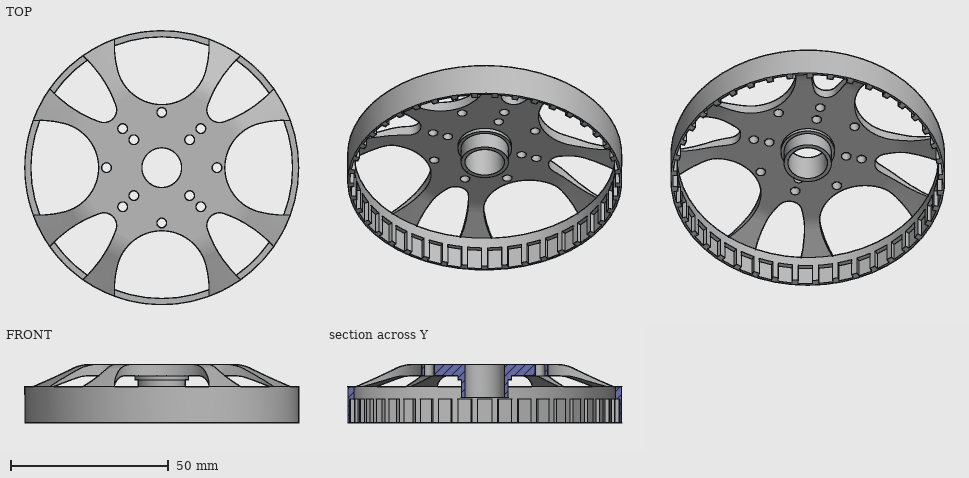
import cadquery as cq
import math

RIM_RADIUS = 43.4
RIM_INNER_RADIUS = 41.4
RIM_HEIGHT = 11.5

GROOVE_COUNT = 41
GROOVE_START_ANGLE = 90.0
GROOVE_WIDTH = 4.5
GROOVE_FLOOR_RADIUS = 42.65
GROOVE_HEIGHT = 7.5

TOTAL_HEIGHT = 18.5
PLATE_THICKNESS = 3.6
PLATE_BOTTOM = TOTAL_HEIGHT - PLATE_THICKNESS
TOP_SLOPE = math.radians(25)
TOP_BEND_RADIUS = 15.0
UNDERSIDE_SLOPE = math.radians(16.7)
UNDERSIDE_BEND_RADIUS = 15.0

BORE_DIAMETER = 12.5
FLANGE_RADIUS = 8.5
FLANGE_THICKNESS = 1.25
BOSS_RADIUS = 7.5
BOSS_BOTTOM = 8.0

BOLT_DIAMETER = 3.0
OUTER_BOLT_CIRCLE_RADIUS = 17.5
OUTER_BOLT_COUNT = 8
INNER_BOLT_CIRCLE_RADIUS = 12.5
INNER_BOLT_COUNT = 4

WINDOW_COUNT = 4
LARGE_WINDOW = {"tip": 20.0, "nose_radius": 14.4, "half_width": 15.0, "widest": 39.0}
SMALL_WINDOW = {"tip": 21.9, "nose_radius": 4.0, "half_width": 7.45, "widest": 41.0}

DIAGONAL = 45.0
CLEARANCE = 1.0


def make_rim():
    """Plain ring with rectangular grooves cut into its inner wall from below."""
    rim = cq.Workplane("XY").circle(RIM_RADIUS).circle(RIM_INNER_RADIUS).extrude(RIM_HEIGHT)
    groove_start = RIM_INNER_RADIUS - CLEARANCE
    grooves = (
        cq.Workplane("XY")
        .polarArray((groove_start + GROOVE_FLOOR_RADIUS) / 2, GROOVE_START_ANGLE, 360, GROOVE_COUNT)
        .rect(GROOVE_FLOOR_RADIUS - groove_start, GROOVE_WIDTH)
        .extrude(GROOVE_HEIGHT)
    )
    return rim.cut(grooves)


def bend_points(corner_r, z, slope, bend_radius):
    """Start, middle and end of the arc easing a flat at height z into a downward slope."""
    start_r = corner_r - bend_radius * math.tan(slope / 2)

    def on_arc(angle):
        return (start_r + bend_radius * math.sin(angle), z - bend_radius * (1 - math.cos(angle)))

    return on_arc(0), on_arc(slope / 2), on_arc(slope)


def make_dish():
    """Flat plate bending down into a cone that tapers to the top of the rim."""
    top_corner_r = RIM_RADIUS - (TOTAL_HEIGHT - RIM_HEIGHT) / math.tan(TOP_SLOPE)
    underside_corner_r = RIM_INNER_RADIUS - (PLATE_BOTTOM - RIM_HEIGHT) / math.tan(UNDERSIDE_SLOPE)
    top_start, top_middle, top_end = bend_points(
        top_corner_r, TOTAL_HEIGHT, TOP_SLOPE, TOP_BEND_RADIUS
    )
    under_start, under_middle, under_end = bend_points(
        underside_corner_r, PLATE_BOTTOM, UNDERSIDE_SLOPE, UNDERSIDE_BEND_RADIUS
    )
    return (
        cq.Workplane("XZ")
        .moveTo(0, TOTAL_HEIGHT)
        .lineTo(*top_start)
        .threePointArc(top_middle, top_end)
        .lineTo(RIM_RADIUS, RIM_HEIGHT)
        .lineTo(RIM_INNER_RADIUS, RIM_HEIGHT)
        .lineTo(*under_end)
        .threePointArc(under_middle, under_start)
        .lineTo(0, PLATE_BOTTOM)
        .close()
        .revolve(360, (0, 0, 0), (0, 1, 0))
    )


def make_window(tip, nose_radius, half_width, widest, angle):
    """Cutter for one window: a round nose running tangentially into two gently curved sides."""
    nose_center = tip + nose_radius
    side_radius = (half_width**2 + (widest - nose_center) ** 2 - nose_radius**2) / (
        2 * (half_width - nose_radius)
    )
    side_offset = half_width - side_radius
    side_slope = math.atan2(widest - nose_center, -side_offset)
    outer_end = RIM_RADIUS + CLEARANCE

    tangent_x = nose_center - nose_radius * math.sin(side_slope)
    tangent_y = nose_radius * math.cos(side_slope)
    end_y = side_offset + math.sqrt(side_radius**2 - (outer_end - widest) ** 2)
    return (
        cq.Workplane("XY")
        .workplane(offset=RIM_HEIGHT)
        .moveTo(outer_end, -end_y)
        .threePointArc((widest, -half_width), (tangent_x, -tangent_y))
        .threePointArc((tip, 0), (tangent_x, tangent_y))
        .threePointArc((widest, half_width), (outer_end, end_y))
        .close()
        .extrude(TOTAL_HEIGHT - RIM_HEIGHT + CLEARANCE)
        .rotate((0, 0, 0), (0, 0, 1), angle)
    )


def cut_windows(body):
    """Alternate large windows on the axes with small ones on the diagonals."""
    for index in range(WINDOW_COUNT):
        angle = index * 360 / WINDOW_COUNT
        body = body.cut(make_window(**LARGE_WINDOW, angle=angle))
        body = body.cut(make_window(**SMALL_WINDOW, angle=angle + DIAGONAL))
    return body


def make_boss():
    """Stepped boss hanging below the plate."""
    flange_bottom = PLATE_BOTTOM - FLANGE_THICKNESS
    flange = (
        cq.Workplane("XY").workplane(offset=flange_bottom).circle(FLANGE_RADIUS).extrude(FLANGE_THICKNESS)
    )
    boss = (
        cq.Workplane("XY")
        .workplane(offset=BOSS_BOTTOM)
        .circle(BOSS_RADIUS)
        .extrude(PLATE_BOTTOM - BOSS_BOTTOM)
    )
    return flange.union(boss)


def make_holes():
    """Cutters for the centre bore and the two bolt circles."""
    bore = cq.Workplane("XY").circle(BORE_DIAMETER / 2).extrude(TOTAL_HEIGHT)
    outer_bolts = (
        cq.Workplane("XY")
        .polarArray(OUTER_BOLT_CIRCLE_RADIUS, 0, 360, OUTER_BOLT_COUNT)
        .circle(BOLT_DIAMETER / 2)
        .extrude(TOTAL_HEIGHT)
    )
    inner_bolts = (
        cq.Workplane("XY")
        .polarArray(INNER_BOLT_CIRCLE_RADIUS, DIAGONAL, 360, INNER_BOLT_COUNT)
        .circle(BOLT_DIAMETER / 2)
        .extrude(TOTAL_HEIGHT)
    )
    return bore.union(outer_bolts).union(inner_bolts)


spokes = cut_windows(make_dish())
result = make_rim().union(spokes).union(make_boss()).cut(make_holes())